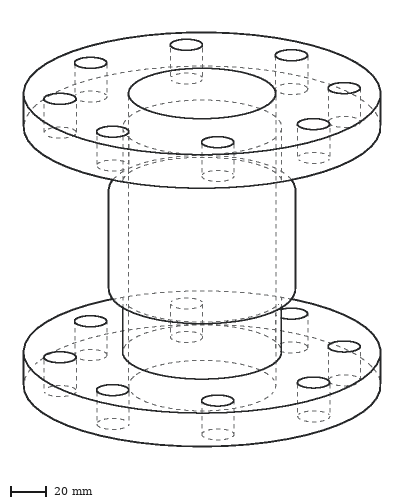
import cadquery as cq

overall_height = 174.0
bore_diameter = 82.5
pipe_diameter = 89.0

flange_diameter = 200.0
flange_thickness = 20.0

bolt_count = 8
bolt_circle_diameter = 160.0
bolt_hole_diameter = 18.0
bolt_start_angle = 360.0 / bolt_count / 2

sleeve_diameter = 104.8
sleeve_length = 64.0
sleeve_fillet = 3.0


def cylinder(diameter, height, base_z):
    return cq.Workplane("XY").workplane(offset=base_z).circle(diameter / 2).extrude(height)


def pipe_with_sleeve():
    """Solid pipe with a thicker sleeve at mid-height, its shoulders rounded inside and out."""
    pipe = cylinder(pipe_diameter, overall_height, -overall_height / 2)
    sleeve = cylinder(sleeve_diameter, sleeve_length, -sleeve_length / 2)
    shoulders = cq.selectors.BoxSelector(
        (-sleeve_diameter, -sleeve_diameter, -sleeve_length),
        (sleeve_diameter, sleeve_diameter, sleeve_length),
    )
    return pipe.union(sleeve).edges("%CIRCLE").edges(shoulders).fillet(sleeve_fillet)


def flange(base_z):
    """Round flange with its ring of bolt holes."""
    bolt_holes = (
        cq.Workplane("XY")
        .workplane(offset=base_z)
        .polarArray(bolt_circle_diameter / 2, bolt_start_angle, 360, bolt_count)
        .circle(bolt_hole_diameter / 2)
        .extrude(flange_thickness)
    )
    return cylinder(flange_diameter, flange_thickness, base_z).cut(bolt_holes)


body = pipe_with_sleeve()
for flange_base_z in (-overall_height / 2, overall_height / 2 - flange_thickness):
    body = body.union(flange(flange_base_z))

bore = cylinder(bore_diameter, overall_height, -overall_height / 2)
result = body.cut(bore)